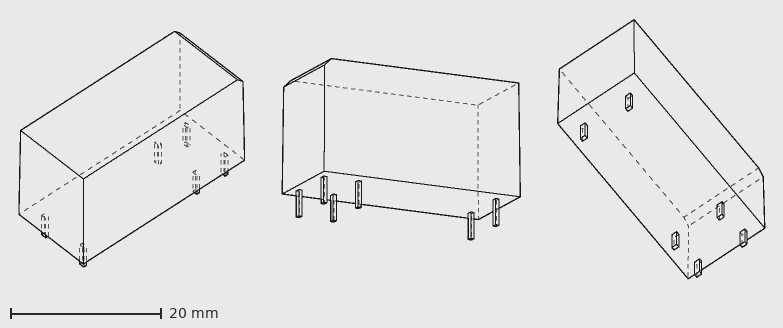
import cadquery as cq

base_width = 12.7
base_length = 29.0
housing_height = 15.7
wall_inset = 0.16
top_chamfer = 1.0

total_height = 19.3
pin_length = total_height - housing_height
pin_width = 0.8
pin_thickness = 0.5
row_spacing = 7.5
pin_pitch = 5.08
outer_pin_y = 13.24
inner_pin_y = outer_pin_y - pin_pitch
far_pin_y = inner_pin_y - 4 * pin_pitch
pin_rows = (-row_spacing / 2, row_spacing / 2)
pin_stations = (far_pin_y, inner_pin_y, outer_pin_y)


def make_housing():
    """Drafted box with one bevelled top edge and its base on Z = 0."""
    body = (
        cq.Workplane("XY")
        .rect(base_width, base_length)
        .workplane(offset=housing_height)
        .rect(base_width - 2 * wall_inset, base_length - 2 * wall_inset)
        .loft(ruled=True)
    )
    return body.faces(">Z").edges(">Y").chamfer(top_chamfer)


def make_pin(x, y):
    """Flat rectangular pin hanging from the housing base."""
    return (
        cq.Workplane("XY")
        .center(x, y)
        .rect(pin_width, pin_thickness)
        .extrude(-pin_length)
    )


housing = make_housing()
pins = []
for row_x in pin_rows:
    for station_y in pin_stations:
        pins.append(make_pin(row_x, station_y))

result = cq.Compound.makeCompound([housing.val(), *[pin.val() for pin in pins]])